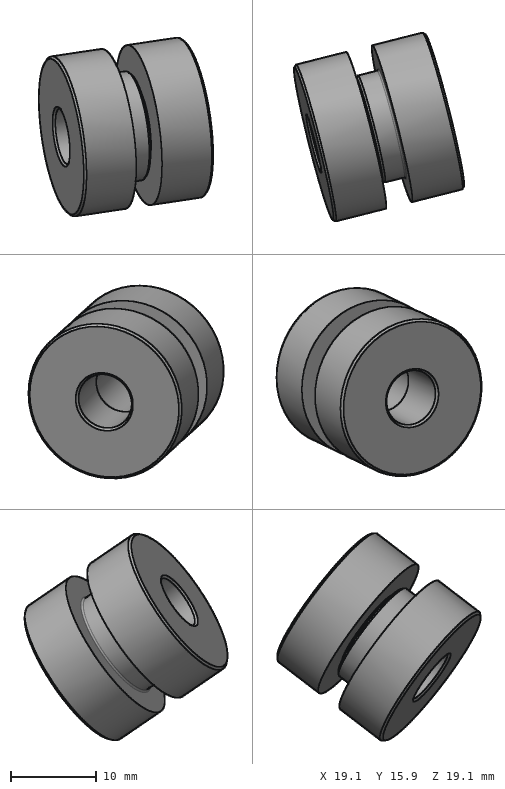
import cadquery as cq

disc_diameter = 19.05
total_length = 15.89
disc_length = 6.36
collar_diameter = 13.0
hub_diameter = 10.05
hub_length = 0.4
bore_diameter = 6.6
edge_chamfer = 0.27
collar_root_fillet = 0.21

front_y = -total_length / 2
front_shoulder_y = front_y + disc_length
rear_y = total_length / 2
rear_shoulder_y = rear_y - disc_length
contact_y = rear_shoulder_y - hub_length


def cylinder(diameter, start_y, end_y):
    """Solid cylinder on the Y axis between two stations."""
    return (
        cq.Workplane("XZ", origin=(0, start_y, 0))
        .circle(diameter / 2)
        .extrude(start_y - end_y)
    )


def bore(body):
    """Cut the shared through bore."""
    return body.cut(cylinder(bore_diameter, front_y, rear_y))


def make_collared_disc():
    """Front disc with a chamfered collar that blends into its inner face."""
    disc = cylinder(disc_diameter, front_y, front_shoulder_y)
    collar = cylinder(collar_diameter, front_shoulder_y, contact_y)
    body = disc.union(collar)
    body = body.faces(">Y").edges().chamfer(edge_chamfer)
    inner_face = body.faces(cq.selectors.NearestToPointSelector(
        (0, front_shoulder_y, (disc_diameter + collar_diameter) / 4)))
    body = inner_face.edges(cq.selectors.RadiusNthSelector(0)).fillet(collar_root_fillet)
    return bore(body).faces("<Y").chamfer(edge_chamfer)


def make_hubbed_disc():
    """Rear disc with a short hub that rests against the collar."""
    disc = cylinder(disc_diameter, rear_shoulder_y, rear_y)
    hub = cylinder(hub_diameter, contact_y, rear_shoulder_y)
    return bore(disc.union(hub)).faces(">Y").chamfer(edge_chamfer)


collared_disc = make_collared_disc()
hubbed_disc = make_hubbed_disc()

result = cq.Compound.makeCompound([collared_disc.val(), hubbed_disc.val()])